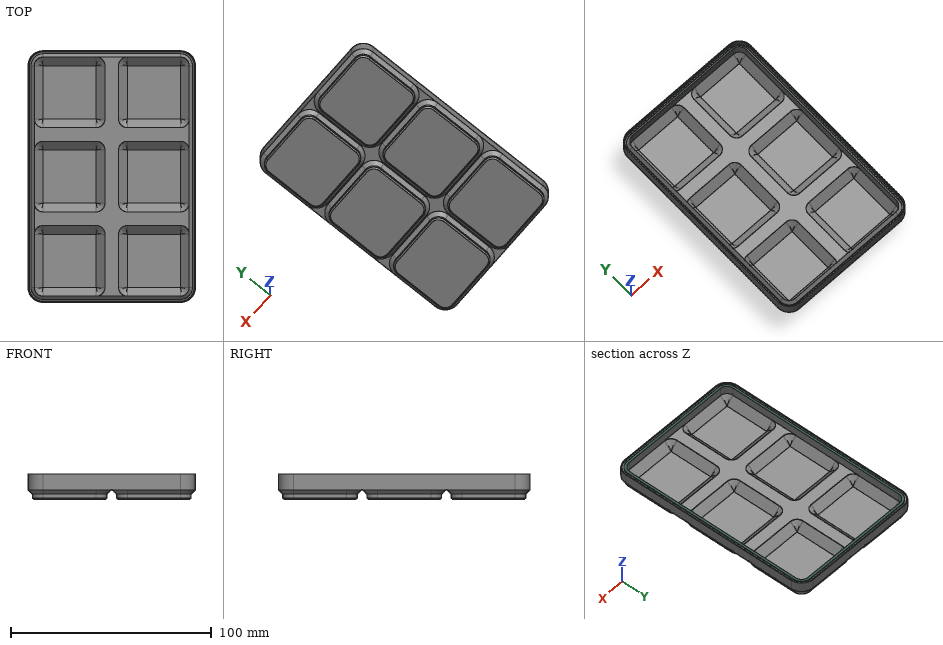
import cadquery as cq

columns = 2
rows = 3
overall_length = 125.5
foot_gap = 0.5
pitch = (overall_length + foot_gap) / rows
cell_size = pitch - foot_gap
tray_width = columns * pitch - foot_gap
corner_radius = 7.5

total_height = 12.8
foot_height = 4.8
foot_flare = 2.1
foot_chamfer = 0.8

wall_thickness = 3.1
tray_floor_z = 5.8
pocket_step = 0.3
pocket_slope = corner_radius - wall_thickness
pocket_bottom_z = tray_floor_z - pocket_step - pocket_slope
pocket_floor_size = cell_size - 2 * corner_radius

lip_thickness = 0.6
groove_floor_width = 0.9
groove_depth = 2.5
groove_slope_rise = 1.9


def rounded_block(size_x, size_y, inset, bottom_z, top_z):
    """Upright block, its outline set in evenly from a rectangle with the common corner radius."""
    return (
        cq.Workplane("XY", origin=(0, 0, bottom_z))
        .rect(size_x - 2 * inset, size_y - 2 * inset)
        .extrude(top_z - bottom_z)
        .edges("|Z")
        .fillet(corner_radius - inset)
    )


def tapered_block(size_x, size_y, bottom_inset, top_inset, bottom_z, top_z):
    """Block whose rounded outline changes inset from bottom to top, with conical corners."""

    def outline(inset, z):
        sketch = cq.Sketch().rect(size_x - 2 * inset, size_y - 2 * inset)
        sketch = sketch.vertices().fillet(corner_radius - inset)
        return sketch.moved(cq.Location(cq.Vector(0, 0, z)))

    bottom = outline(bottom_inset, bottom_z)
    top = outline(top_inset, top_z)
    return cq.Workplane("XY").placeSketch(bottom, top).loft()


def make_foot():
    """Chamfered bottom, straight band, then a 45 degree flare out to the full cell."""
    flare_z = foot_height - foot_flare
    bottom_inset = foot_flare + foot_chamfer
    chamfer = tapered_block(cell_size, cell_size, bottom_inset, foot_flare, 0, foot_chamfer)
    band = rounded_block(cell_size, cell_size, foot_flare, foot_chamfer, flare_z)
    flare = tapered_block(cell_size, cell_size, foot_flare, 0, flare_z, foot_height)
    return chamfer.union(band).union(flare)


def make_pocket():
    """Square-floored hollow with 45 degree sides, quarter-cone corners and a short upright top."""
    half_floor = pocket_floor_size / 2
    half_top = half_floor + pocket_slope
    slope_top_z = pocket_bottom_z + pocket_slope
    profile = [
        (-half_floor, pocket_bottom_z),
        (half_floor, pocket_bottom_z),
        (half_top, slope_top_z),
        (-half_top, slope_top_z),
    ]
    trough = cq.Workplane("XZ").polyline(profile).close().extrude(half_floor, both=True)
    corner = cq.Workplane(
        cq.Solid.makeCone(0, pocket_slope, pocket_slope, angleDegrees=90)
    ).translate((half_floor, half_floor, pocket_bottom_z))

    pocket = rounded_block(cell_size, cell_size, wall_thickness, slope_top_z, tray_floor_z)
    for angle in (0, 90):
        pocket = pocket.union(trough.rotate((0, 0, 0), (0, 0, 1), angle))
    for angle in (0, 90, 180, 270):
        pocket = pocket.union(corner.rotate((0, 0, 0), (0, 0, 1), angle))
    return pocket


def make_rim_groove():
    """Space between the outer lip and the slope on the inner side of the wall."""
    bottom_z = total_height - groove_depth
    slope_z = total_height - groove_slope_rise
    slope_start = lip_thickness + groove_floor_width
    opening = rounded_block(tray_width, overall_length, lip_thickness, bottom_z, total_height)
    upright = rounded_block(tray_width, overall_length, slope_start, bottom_z, slope_z)
    slope = tapered_block(
        tray_width, overall_length, slope_start, wall_thickness, slope_z, total_height
    )
    return opening.cut(upright).cut(slope)


cell_centers = [
    ((column - (columns - 1) / 2) * pitch, (row - (rows - 1) / 2) * pitch, 0)
    for column in range(columns)
    for row in range(rows)
]
foot = make_foot()
pocket = make_pocket()

result = rounded_block(tray_width, overall_length, 0, foot_height, total_height)
for center in cell_centers:
    result = result.union(foot.translate(center))

result = result.cut(make_rim_groove())
result = result.cut(
    rounded_block(tray_width, overall_length, wall_thickness, tray_floor_z, total_height)
)
for center in cell_centers:
    result = result.cut(pocket.translate(center))